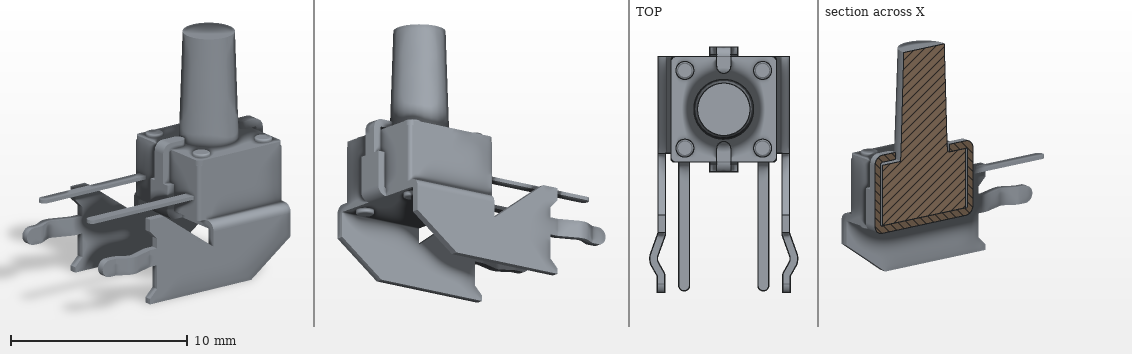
import cadquery as cq
import math


HOUSING_SIDE = 6.0
HOUSING_HEIGHT = 3.6
HOUSING_CORNER_R = 0.21
COVER_THICKNESS = 0.3
COVER_CORNER_R = 0.3

PLUNGER_BASE_D = 3.4
PLUNGER_TOP_D = 2.97
PLUNGER_TOP_Z = 9.98

PEG_D = 1.02
PEG_OFFSET = 2.2
PEG_ABOVE_COVER = 0.2
PEG_BOTTOM_Z = -0.71
PEG_EDGE_R = 0.1

PIN_WIDTH = 0.63
PIN_THICKNESS = 0.21
PIN_X = 2.25
PIN_Z = 1.3
PIN_TIP_Y = -10.3

SHEET = 0.45
PLATE_FRONT_Y = -2.5

LEG_OUTER_X = 3.74
LEG_BEND_R = 0.05
LEG_BOTTOM_Z = -3.95
LEG_FRONT_Y = -7.0
LEG_BACK_CHAMFER_Z = -1.91
LEG_BACK_CHAMFER_Y = 0.2
LEG_RELIEF_Z = -1.41
LEG_SHOULDER_Y = -6.0
LEG_TOP_Z = 1.12
NOTCH_DEPTH = 0.5
NOTCH_TOP_Z = 0.39
NOTCH_BOTTOM_Z = -3.62

ARM_WIDTH = 1.0
ARM_Z = -1.2
ARM_TIP_Y = -10.4
ARM_TIP_OFFSET = 0.04
ARM_BULGE_X = 4.04
ARM_BULGE_Y = -8.53
ARM_BULGE_R = 0.45
ARM_BEND_START_Y = -7.05
ARM_BEND_END_Y = -9.4

CLIP_GAP = 0.1
CLIP_BASE_WIDTH = 1.6
CLIP_WIDTH = 0.8
FRONT_CLIP_TOP_Z = 3.99
FRONT_CLIP_STEP_Z = 1.66
FRONT_CLIP_REACH = 1.83
BACK_CLIP_TOP_Z = 4.2
BACK_CLIP_STEP_Z = 2.15
BACK_CLIP_REACH = 2.04

HALF_HOUSING = HOUSING_SIDE / 2
LEG_INNER_X = LEG_OUTER_X - SHEET
LEG_BEND_OUTER_R = LEG_BEND_R + SHEET
CLIP_BEND_OUTER_R = CLIP_GAP + SHEET
CLIP_OUTER_Y = HALF_HOUSING + CLIP_BEND_OUTER_R
NOTCH_Y = LEG_FRONT_Y + NOTCH_DEPTH


def make_case():
    body_height = HOUSING_HEIGHT - COVER_THICKNESS
    body = (
        cq.Workplane("XY")
        .rect(HOUSING_SIDE, HOUSING_SIDE)
        .extrude(body_height)
        .edges("|Z")
        .fillet(HOUSING_CORNER_R)
    )
    cover = (
        cq.Workplane("XY", origin=(0, 0, body_height))
        .rect(HOUSING_SIDE, HOUSING_SIDE)
        .extrude(COVER_THICKNESS)
        .edges("|Z")
        .fillet(COVER_CORNER_R)
    )
    return body.union(cover)


def make_plunger():
    return (
        cq.Workplane("XY", origin=(0, 0, HOUSING_HEIGHT))
        .circle(PLUNGER_BASE_D / 2)
        .workplane(offset=PLUNGER_TOP_Z - HOUSING_HEIGHT)
        .circle(PLUNGER_TOP_D / 2)
        .loft(ruled=True)
    )


def make_peg(x, y, bottom_z, top_z):
    """Upright round peg with rounded end edges."""
    peg = cq.Workplane("XY", origin=(x, y, bottom_z)).circle(PEG_D / 2).extrude(top_z - bottom_z)
    return peg.edges().fillet(PEG_EDGE_R)


def make_pin(x):
    """Flat contact pin with a rounded tip, starting at the front face of the case."""
    tip_centre_y = PIN_TIP_Y + PIN_WIDTH / 2
    return (
        cq.Workplane("XY", origin=(x, 0, PIN_Z - PIN_THICKNESS / 2))
        .moveTo(-PIN_WIDTH / 2, -HALF_HOUSING)
        .lineTo(-PIN_WIDTH / 2, tip_centre_y)
        .threePointArc((0, PIN_TIP_Y), (PIN_WIDTH / 2, tip_centre_y))
        .lineTo(PIN_WIDTH / 2, -HALF_HOUSING)
        .close()
        .extrude(PIN_THICKNESS)
    )


def make_switch():
    switch = make_case().union(make_plunger())
    peg_top_z = HOUSING_HEIGHT + PEG_ABOVE_COVER
    for side in (-1, 1):
        peg_x = side * PEG_OFFSET
        switch = switch.union(make_peg(peg_x, PEG_OFFSET, PEG_BOTTOM_Z, peg_top_z))
        switch = switch.union(make_peg(peg_x, -PEG_OFFSET, HOUSING_HEIGHT / 2, peg_top_z))
        switch = switch.union(make_pin(side * PIN_X))
    return switch


def block(width, y_range, z_range):
    """Box centred on X = 0, between the given Y and Z limits."""
    depth = y_range[1] - y_range[0]
    height = z_range[1] - z_range[0]
    box = cq.Workplane("XY").box(width, depth, height, centered=(True, False, False))
    return box.translate((0, y_range[0], z_range[0]))


def round_topped_bar(half_width, top_z, top_r):
    """Bar as long as the plate, with its two upper edges rounded."""
    bottom_z = -LEG_BEND_OUTER_R
    bar = block(2 * half_width, (PLATE_FRONT_Y, HALF_HOUSING), (bottom_z - top_r, top_z))
    bar = bar.edges("|Y and >Z").fillet(top_r)
    return bar.intersect(block(2 * half_width, (PLATE_FRONT_Y, HALF_HOUSING), (bottom_z, top_z)))


def make_plate():
    """Plate under the case, with both long sides bent down toward the legs."""
    outside = round_topped_bar(LEG_OUTER_X, 0, LEG_BEND_OUTER_R)
    inside = round_topped_bar(LEG_INNER_X, -SHEET, LEG_BEND_R)
    return outside.cut(inside)


def make_leg():
    """Leg on the +X side, below the plate bend."""
    outline = [
        (HALF_HOUSING, -LEG_BEND_OUTER_R),
        (HALF_HOUSING, LEG_BACK_CHAMFER_Z),
        (LEG_BACK_CHAMFER_Y, LEG_BOTTOM_Z),
        (LEG_FRONT_Y, LEG_BOTTOM_Z),
        (LEG_FRONT_Y, NOTCH_BOTTOM_Z),
        (NOTCH_Y, NOTCH_BOTTOM_Z + NOTCH_DEPTH),
        (NOTCH_Y, NOTCH_TOP_Z - NOTCH_DEPTH),
        (LEG_FRONT_Y, NOTCH_TOP_Z),
        (LEG_FRONT_Y, LEG_TOP_Z),
        (LEG_SHOULDER_Y, LEG_TOP_Z),
        (PLATE_FRONT_Y, LEG_RELIEF_Z),
        (PLATE_FRONT_Y, -LEG_BEND_OUTER_R),
    ]
    return cq.Workplane("YZ", origin=(LEG_INNER_X, 0, 0)).polyline(outline).close().extrude(SHEET)


def strip_side(path, offset):
    """Points of a path that runs toward -Y, shifted toward +X by offset with mitred corners."""
    angles = [math.atan2(b[0] - a[0], a[1] - b[1]) for a, b in zip(path, path[1:])]
    before = angles[:1] + angles
    after = angles + angles[-1:]
    points = []
    for (x, y), a, b in zip(path, before, after):
        miter = offset / math.cos((b - a) / 2)
        normal = (a + b) / 2
        points.append((x + miter * math.cos(normal), y + miter * math.sin(normal)))
    return points


def make_arm():
    """Spring arm on the +X side: it bulges outward and ends in a round tip."""
    leg_x = LEG_OUTER_X - SHEET / 2
    tip_x = leg_x + ARM_TIP_OFFSET
    tip_centre_y = ARM_TIP_Y + ARM_WIDTH / 2
    path = [
        (leg_x, NOTCH_Y),
        (leg_x, ARM_BEND_START_Y),
        (ARM_BULGE_X, ARM_BULGE_Y),
        (tip_x, ARM_BEND_END_Y),
        (tip_x, tip_centre_y),
    ]
    outer = strip_side(path, SHEET / 2)
    inner = strip_side(path, -SHEET / 2)
    arm = (
        cq.Workplane("XY", origin=(0, 0, ARM_Z - ARM_WIDTH / 2))
        .polyline(outer + inner[::-1])
        .close()
        .extrude(ARM_WIDTH)
    )

    def corner(point):
        return cq.selectors.NearestToPointSelector((point[0], point[1], ARM_Z))

    _, start_out, bulge_out, end_out, _ = outer
    _, start_in, bulge_in, end_in, _ = inner
    bends = [
        (bulge_in, bulge_out, ARM_BULGE_R),
        (start_out, start_in, LEG_BEND_R),
        (end_out, end_in, LEG_BEND_R),
    ]
    for tight, wide, radius in bends:
        arm = arm.edges("|Z").edges(corner(tight)).fillet(radius)
        arm = arm.edges("|Z").edges(corner(wide)).fillet(radius + SHEET)

    tip = (
        cq.Workplane("YZ", origin=(tip_x - SHEET / 2, tip_centre_y, ARM_Z))
        .circle(ARM_WIDTH / 2)
        .extrude(SHEET)
    )
    return arm.union(tip)


def make_clip(top_z, step_z, reach):
    """Clip on the +Y side: rises from the plate past the case and hooks over the cover."""
    outer = block(CLIP_BASE_WIDTH, (reach, CLIP_OUTER_Y), (-SHEET, top_z))
    outer = outer.edges("|X and >Y").fillet(CLIP_BEND_OUTER_R)
    inner = block(CLIP_BASE_WIDTH, (0, CLIP_OUTER_Y - SHEET), (0, top_z - SHEET))
    inner = inner.edges("|X and >Y").fillet(CLIP_GAP)
    strip = outer.cut(inner)

    tip_centre_y = reach + CLIP_WIDTH / 2
    base_outline = block(CLIP_BASE_WIDTH, (reach, CLIP_OUTER_Y), (-SHEET, step_z))
    hook_outline = block(CLIP_WIDTH, (tip_centre_y, CLIP_OUTER_Y), (step_z, top_z))
    tip_outline = (
        cq.Workplane("XY", origin=(0, tip_centre_y, step_z))
        .circle(CLIP_WIDTH / 2)
        .extrude(top_z - step_z)
    )
    return strip.intersect(base_outline.union(hook_outline).union(tip_outline))


def make_bracket():
    side = make_leg().union(make_arm())
    back_clip = make_clip(BACK_CLIP_TOP_Z, BACK_CLIP_STEP_Z, BACK_CLIP_REACH)
    front_clip = make_clip(FRONT_CLIP_TOP_Z, FRONT_CLIP_STEP_Z, FRONT_CLIP_REACH).mirror("XZ")
    bracket = make_plate().union(side).union(side.mirror("YZ")).union(back_clip).union(front_clip)
    peg_holes = (
        cq.Workplane("XY", origin=(0, PEG_OFFSET, -SHEET))
        .pushPoints([(-PEG_OFFSET, 0), (PEG_OFFSET, 0)])
        .circle(PEG_D / 2)
        .extrude(SHEET)
    )
    return bracket.cut(peg_holes)


bracket = make_bracket()
switch = make_switch().cut(bracket)

result = cq.Compound.makeCompound([switch.solids().val(), bracket.solids().val()])